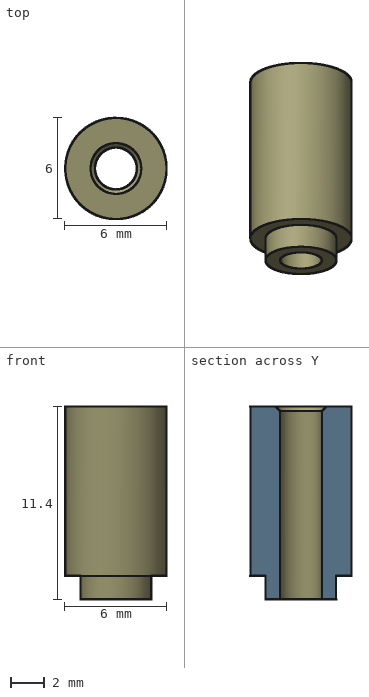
import cadquery as cq

BODY_DIAMETER = 6.0
BODY_LENGTH = 10.0
SPIGOT_DIAMETER = 4.2
SPIGOT_LENGTH = 1.4
BORE_DIAMETER = 2.46
COUNTERSINK_DIAMETER = 3.0

COUNTERSINK_DEPTH = (COUNTERSINK_DIAMETER - BORE_DIAMETER) / 2


def make_stepped_body():
    """Round body standing on Z = 0 with a narrower spigot below it."""
    body = cq.Workplane("XY").circle(BODY_DIAMETER / 2).extrude(BODY_LENGTH)
    spigot = cq.Workplane("XY").circle(SPIGOT_DIAMETER / 2).extrude(-SPIGOT_LENGTH)
    return body.union(spigot)


def cut_bore(part):
    """Through bore along the axis."""
    return part.faces(">Z").workplane().circle(BORE_DIAMETER / 2).cutThruAll()


def countersink_top(part):
    """Countersink on the upper rim of the bore."""
    bore_rim = part.faces(">Z").edges(cq.selectors.RadiusNthSelector(0))
    return bore_rim.chamfer(COUNTERSINK_DEPTH)


result = countersink_top(cut_bore(make_stepped_body()))